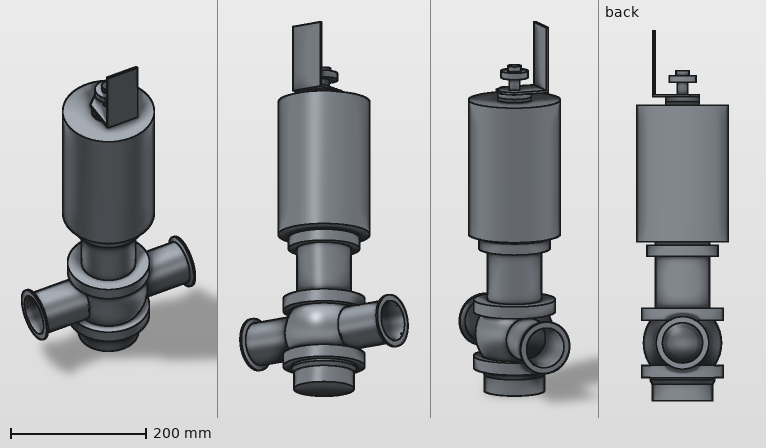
import cadquery as cq
import math


chamber_radius = 57.75
flange_diameter = 121.0
flange_thickness = 18.0
flange_gap = 66.5

pipe_outer_diameter = 63.5
pipe_bore_diameter = 59.5
pipe_span = 250.0
ferrule_diameter = 77.5
ferrule_rim_width = 2.85
ferrule_taper_width = 2.55

bottom_shoulder_diameter = 96.0
bottom_shoulder_height = 3.5
bottom_taper_height = 6.5
bottom_spigot_diameter = 89.1
bottom_spigot_height = 24.5

column_diameter = 80.0
column_height = 76.5
clamp_ring_diameter = 105.0
clamp_ring_height = 16.5
neck_height = 5.0
drum_diameter = 135.5
drum_height = 202.0

disc_diameter = 50.0
valve_disc_height = 5.0
indicator_disc_height = 7.0

overall_height = 546.75
bracket_thickness = 3.5
bracket_reach = 44.0
octagon_sides = 8
stem_diameter = 16.0
stem_height = 18.0
knob_diameter = 40.0
knob_height = 10.0
tip_diameter = 19.5
tip_height = 7.5

lower_flange_top = -flange_gap / 2
lower_flange_base = lower_flange_top - flange_thickness
shoulder_base = lower_flange_base - bottom_shoulder_height
spigot_top = shoulder_base - bottom_taper_height
spigot_base = spigot_top - bottom_spigot_height
upper_flange_base = flange_gap / 2
column_base = upper_flange_base + flange_thickness
clamp_ring_base = column_base + column_height
neck_base = clamp_ring_base + clamp_ring_height
drum_base = neck_base + neck_height
drum_top = drum_base + drum_height
seam_level = drum_top + valve_disc_height
bracket_base = seam_level + indicator_disc_height
stem_base = bracket_base + bracket_thickness
bracket_top = spigot_base + overall_height


def cylinder(diameter, base, height):
    """Vertical cylinder on the valve axis."""
    return cq.Workplane("XY").workplane(offset=base).circle(diameter / 2).extrude(height)


def chamber():
    """Ball cut flat where the two flanges meet it."""
    ball = cq.Workplane("XY").sphere(chamber_radius)
    return ball.intersect(cylinder(flange_diameter, lower_flange_top, flange_gap))


def bottom_connection():
    """Shoulder below the lower flange, tapering to a plain spigot."""
    shoulder_radius = bottom_shoulder_diameter / 2
    spigot_radius = bottom_spigot_diameter / 2
    return (
        cq.Workplane("XZ")
        .moveTo(0, lower_flange_base)
        .lineTo(shoulder_radius, lower_flange_base)
        .lineTo(shoulder_radius, shoulder_base)
        .lineTo(spigot_radius, spigot_top)
        .lineTo(spigot_radius, spigot_base)
        .lineTo(0, spigot_base)
        .close()
        .revolve(360, (0, 0, 0), (0, 1, 0))
    )


def side_pipe(side):
    """Pipe along Y with a tapered ferrule at its end; side is -1 or +1."""
    end = side * pipe_span / 2
    rim_back = end - side * ferrule_rim_width
    taper_back = rim_back - side * ferrule_taper_width
    bore_radius = pipe_bore_diameter / 2
    outer_radius = pipe_outer_diameter / 2
    rim_radius = ferrule_diameter / 2
    return (
        cq.Workplane("XY")
        .moveTo(bore_radius, 0)
        .lineTo(outer_radius, 0)
        .lineTo(outer_radius, taper_back)
        .lineTo(rim_radius, rim_back)
        .lineTo(rim_radius, end)
        .lineTo(bore_radius, end)
        .close()
        .revolve(360, (0, 0, 0), (0, 1, 0))
    )


def make_valve():
    """Chamber, flanges, pipes, column and actuator drum as one solid."""
    body = chamber()
    body = body.union(bottom_connection())
    for flange_base in (lower_flange_base, upper_flange_base):
        body = body.union(cylinder(flange_diameter, flange_base, flange_thickness))
    for side in (-1, 1):
        body = body.union(side_pipe(side))
    body = body.union(cylinder(column_diameter, column_base, drum_base - column_base))
    body = body.union(cylinder(clamp_ring_diameter, clamp_ring_base, clamp_ring_height))
    body = body.union(cylinder(drum_diameter, drum_base, drum_height))
    return body.union(cylinder(disc_diameter, drum_top, valve_disc_height))


def angle_bracket():
    """L-shaped plate as wide as the disc, its free end following a regular octagon."""
    half_width = disc_diameter / 2
    octagon_half_side = half_width * math.tan(math.pi / octagon_sides)
    foot = (
        cq.Workplane("XY")
        .workplane(offset=bracket_base)
        .moveTo(bracket_reach, -half_width)
        .lineTo(-octagon_half_side, -half_width)
        .lineTo(-half_width, -octagon_half_side)
        .lineTo(-half_width, octagon_half_side)
        .lineTo(-octagon_half_side, half_width)
        .lineTo(bracket_reach, half_width)
        .close()
        .extrude(bracket_thickness)
    )
    upright = cq.Workplane("XY").box(
        bracket_thickness, disc_diameter, bracket_top - bracket_base, centered=(False, True, False)
    )
    return foot.union(upright.translate((bracket_reach - bracket_thickness, 0, bracket_base)))


def make_indicator():
    """Disc, bracket, stem and knob standing on the valve's top disc."""
    knob_base = stem_base + stem_height
    indicator = cylinder(disc_diameter, seam_level, indicator_disc_height)
    indicator = indicator.union(angle_bracket())
    indicator = indicator.union(cylinder(stem_diameter, stem_base, stem_height))
    indicator = indicator.union(cylinder(knob_diameter, knob_base, knob_height))
    return indicator.union(cylinder(tip_diameter, knob_base + knob_height, tip_height))


valve = make_valve()
indicator = make_indicator()
result = cq.Compound.makeCompound([valve.val(), indicator.val()])